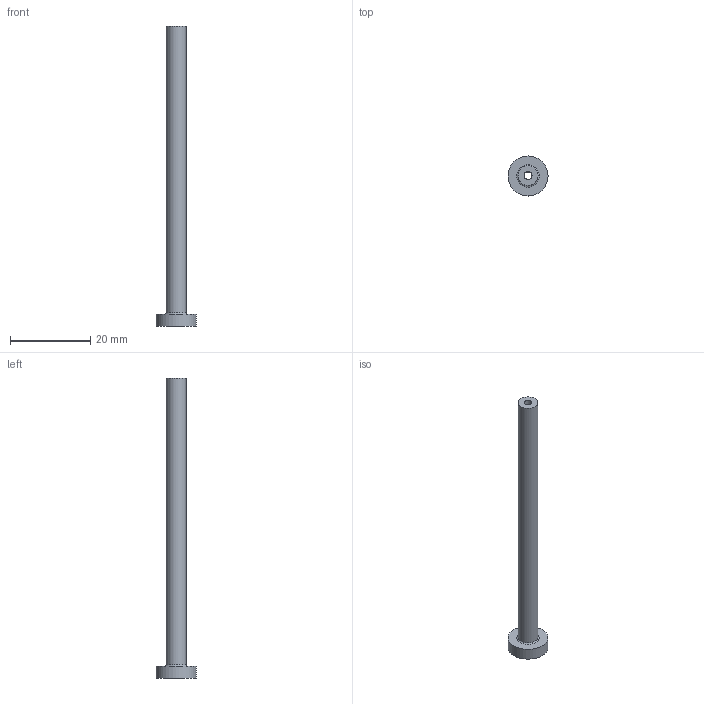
import cadquery as cq

total_length = 75.0
head_diameter = 10.0
head_height = 3.0
shank_diameter = 5.0
bore_diameter = 2.0
neck_fillet = 0.3

head_radius = head_diameter / 2
shank_radius = shank_diameter / 2
bore_radius = bore_diameter / 2


def make_sleeve():
    """Headed sleeve with a through bore, revolved about Z from its half section on the -X side."""
    neck_start = (-(shank_radius + neck_fillet), head_height)
    neck_end = (-shank_radius, head_height + neck_fillet)
    half_section = (
        cq.Workplane("XZ")
        .moveTo(-bore_radius, 0)
        .lineTo(-head_radius, 0)
        .lineTo(-head_radius, head_height)
        .lineTo(*neck_start)
        .radiusArc(neck_end, -neck_fillet)
        .lineTo(-shank_radius, total_length)
        .lineTo(-bore_radius, total_length)
        .close()
    )
    return half_section.revolve(360, (0, 0, 0), (0, 1, 0))


result = make_sleeve()